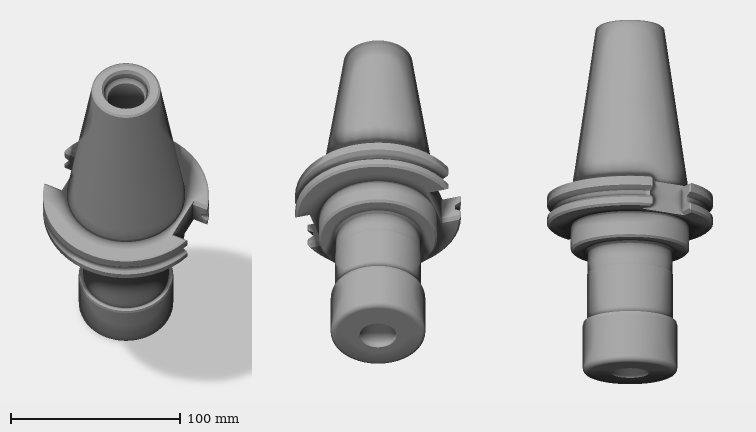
import cadquery as cq
import math

total_height = 210.8
gauge_z = 109.6
flange_top_z = 107.7
flange_bottom_z = 89.8
collar_top_z = 88.5
collar_bottom_z = 74.2
sleeve_top_z = 60.0
nut_top_z = 30.5

cone_base_dia = 69.8
cone_face_dia = 38.2
neck_dia = 69.1
flange_dia = 98.0
groove_dia = 90.7
collar_dia = 70.0
shank_dia = 50.0
sleeve_dia = 50.5
nut_dia = 55.9

cone_taper = 7 / 24
cone_chamfer_height = 1.0

rim_edge_top_z = 102.0
groove_top_z = 99.7
groove_bottom_z = 97.0
rim_edge_bottom_z = 94.7

flange_top_chamfer_width = 1.0
flange_top_chamfer_height = 0.5
flange_bottom_chamfer = 1.3
collar_chamfer = 1.3
shank_root_height = 1.3
nut_chamfer_width = 0.5
nut_chamfer_height = 1.7
nut_fillet = 3.0

bore_dia = 22.0
pilot_dia = 26.4
pilot_mouth_dia = 28.7
pilot_depth = 6.3
pilot_mouth_depth = 2.1
seat_depth = pilot_depth + (pilot_dia - bore_dia) / 2

slot_width = 25.3
slot_chamfer = 2.0
slot_mouth_chamfer = 0.6
slot_floor_left = 35.5
slot_floor_right = 37.7


def revolve_about_z(profile):
    """Revolve (radius, height) points about the tool axis."""
    return cq.Workplane("XZ").polyline(profile).close().revolve(360, (0, 0, 0), (0, 1, 0))


def tool_body():
    cone_top_z = total_height - cone_chamfer_height
    cone_top_dia = cone_base_dia - cone_taper * (cone_top_z - gauge_z)
    flange_radius = flange_dia / 2
    nut = [
        (0, 0),
        (nut_dia / 2, 0),
        (nut_dia / 2, nut_top_z - nut_chamfer_height),
        (nut_dia / 2 - nut_chamfer_width, nut_top_z),
    ]
    shank = [
        (sleeve_dia / 2, nut_top_z),
        (sleeve_dia / 2, sleeve_top_z),
        (shank_dia / 2, sleeve_top_z),
        (shank_dia / 2, collar_bottom_z - shank_root_height),
        (shank_dia / 2 + shank_root_height, collar_bottom_z),
    ]
    collar = [
        (collar_dia / 2 - collar_chamfer, collar_bottom_z),
        (collar_dia / 2, collar_bottom_z + collar_chamfer),
        (collar_dia / 2, collar_top_z),
        (neck_dia / 2, collar_top_z),
    ]
    flange = [
        (neck_dia / 2, flange_bottom_z),
        (flange_radius - flange_bottom_chamfer, flange_bottom_z),
        (flange_radius, flange_bottom_z + flange_bottom_chamfer),
        (flange_radius, rim_edge_bottom_z),
        (groove_dia / 2, groove_bottom_z),
        (groove_dia / 2, groove_top_z),
        (flange_radius, rim_edge_top_z),
        (flange_radius, flange_top_z - flange_top_chamfer_height),
        (flange_radius - flange_top_chamfer_width, flange_top_z),
    ]
    cone = [
        (cone_base_dia / 2, flange_top_z),
        (cone_base_dia / 2, gauge_z),
        (cone_top_dia / 2, cone_top_z),
        (cone_face_dia / 2, total_height),
        (0, total_height),
    ]
    body = revolve_about_z(nut + shank + collar + flange + cone)
    return body.faces("<Z").edges().fillet(nut_fillet)


def bore():
    return revolve_about_z([
        (0, 0),
        (bore_dia / 2, 0),
        (bore_dia / 2, total_height - seat_depth),
        (pilot_dia / 2, total_height - pilot_depth),
        (pilot_dia / 2, total_height - pilot_mouth_depth),
        (pilot_mouth_dia / 2, total_height),
        (0, total_height),
    ])


def slot_channel(side, floor_distance):
    """Slot open to one side (-1 or +1 along X), widening at the flange's top and bottom faces."""
    half = slot_width / 2
    flare = half + slot_chamfer
    section = [
        (-flare, flange_bottom_z),
        (-half, flange_bottom_z + slot_chamfer),
        (-half, flange_top_z - slot_chamfer),
        (-flare, flange_top_z),
        (flare, flange_top_z),
        (half, flange_top_z - slot_chamfer),
        (half, flange_bottom_z + slot_chamfer),
        (flare, flange_bottom_z),
    ]
    floor_plane = cq.Workplane("YZ", origin=(side * floor_distance, 0, 0))
    return floor_plane.polyline(section).close().extrude(side * flange_dia / 2)


def slot_mouth(side):
    """Wedge that breaks the slot's upright edges at 45 degrees where they meet the rim."""
    half = slot_width / 2
    rim_half = half + slot_mouth_chamfer
    rim_x = math.sqrt((flange_dia / 2) ** 2 - rim_half ** 2)
    start_x = rim_x - slot_mouth_chamfer
    end_x = flange_dia / 2
    end_half = half + end_x - start_x
    outline = [
        (side * start_x, -half),
        (side * end_x, -end_half),
        (side * end_x, end_half),
        (side * start_x, half),
    ]
    base = cq.Workplane("XY", origin=(0, 0, flange_bottom_z))
    return base.polyline(outline).close().extrude(flange_top_z - flange_bottom_z)


result = tool_body().cut(bore())
for side, floor_distance in ((-1, slot_floor_left), (1, slot_floor_right)):
    result = result.cut(slot_channel(side, floor_distance))
    result = result.cut(slot_mouth(side))